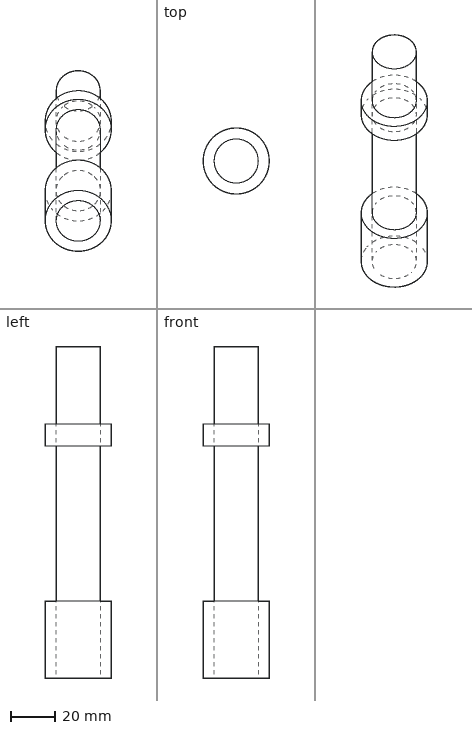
import cadquery as cq

rod_length = 150.0
rod_diameter = 20.0
ring_diameter = 30.0
sleeve_height = 35.0
collar_height = 10.0
collar_bottom = 105.0


def make_rod():
    """Plain round rod running the full length of the assembly."""
    return cq.Workplane("XY").circle(rod_diameter / 2).extrude(rod_length)


def make_ring(bottom, height):
    """Ring whose bore fits the rod, with its lower face at the given Z."""
    return (
        cq.Workplane("XY", origin=(0, 0, bottom))
        .circle(ring_diameter / 2)
        .circle(rod_diameter / 2)
        .extrude(height)
    )


def make_sleeve():
    """Long sleeve around the foot of the rod, flush with its lower end."""
    return make_ring(0, sleeve_height)


def make_collar():
    """Short collar around the upper part of the rod."""
    return make_ring(collar_bottom, collar_height)


rod = make_rod()
sleeve = make_sleeve()
collar = make_collar()

result = cq.Compound.makeCompound([rod.val(), sleeve.val(), collar.val()])